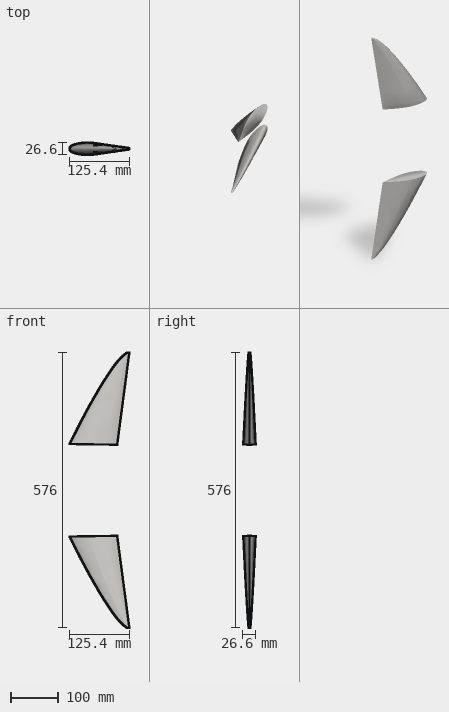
import cadquery as cq
import math

TIP_TRAILING_X = 125.51
TIP_Z = 288.0
ROOT_LEADING_Z = 96.3
ROOT_TRAILING_Z = 94.8
ROOT_CHORD = 100.2
TIP_CHORD = 4.5
ROOT_TAIL = 62.0
TIP_TAIL = 2.0
ROOT_THICKNESS = 26.50
TIP_THICKNESS = 4.0

CHORD_EXPONENT = 0.72
TAIL_EXPONENT = 0.8
THICKNESS_EXPONENT = 0.82

TAIL_FULLNESS = 1.3

TAIL_HANDLE = 1 / 3
ELLIPSE_HANDLE = 4 / 3 * (math.sqrt(2) - 1)

STATIONS = 8
STATION_CROWDING = 1.2
CUT_MARGIN = 20.0


def taper(root, tip, share, exponent=1):
    """Size at a station; share runs from 0 at the tip to 1 at the root."""
    return tip + (root - tip) * share**exponent


def half_section(share):
    """Half of the airfoil: quarter-ellipse nose, then a tail that thins to a sharp trailing edge."""
    trailing_x = taper(ROOT_CHORD, TIP_TRAILING_X, share)
    chord = taper(ROOT_CHORD, TIP_CHORD, share, CHORD_EXPONENT)
    tail = taper(ROOT_TAIL, TIP_TAIL, share, TAIL_EXPONENT)
    half_thickness = taper(ROOT_THICKNESS, TIP_THICKNESS, share, THICKNESS_EXPONENT) / 2
    leading_x = trailing_x - chord
    thickest_x = trailing_x - tail
    nose = chord - tail
    return (
        cq.Workplane("XY", origin=(0, 0, taper(ROOT_LEADING_Z, TIP_Z, share)))
        .moveTo(leading_x, 0)
        .lineTo(trailing_x, 0)
        .bezier(
            [
                (trailing_x - tail * TAIL_HANDLE, half_thickness * TAIL_FULLNESS * TAIL_HANDLE),
                (thickest_x + tail * TAIL_HANDLE, half_thickness),
                (thickest_x, half_thickness),
            ],
            includeCurrent=True,
        )
        .bezier(
            [
                (thickest_x - ELLIPSE_HANDLE * nose, half_thickness),
                (leading_x, ELLIPSE_HANDLE * half_thickness),
                (leading_x, 0),
            ],
            includeCurrent=True,
        )
        .close()
        .wire()
        .val()
    )


def upper_fin():
    """Fin above the mid plane, joined from its two mirrored halves along the chord plane."""
    root_share = (TIP_Z - ROOT_TRAILING_Z) / (TIP_Z - ROOT_LEADING_Z)
    sections = []
    for index in range(STATIONS):
        share = root_share * (index / (STATIONS - 1)) ** STATION_CROWDING
        sections.append(half_section(share))
    root_cutter = (
        cq.Workplane("XZ")
        .moveTo(0, ROOT_LEADING_Z)
        .lineTo(ROOT_CHORD, ROOT_TRAILING_Z)
        .lineTo(ROOT_CHORD, ROOT_TRAILING_Z - CUT_MARGIN)
        .lineTo(-CUT_MARGIN, ROOT_TRAILING_Z - CUT_MARGIN)
        .lineTo(-CUT_MARGIN, ROOT_LEADING_Z)
        .close()
        .extrude(ROOT_THICKNESS, both=True)
    )
    half = cq.Workplane(cq.Solid.makeLoft(sections)).cut(root_cutter)
    return half.union(half.mirror("XZ"), clean=False)


fin = upper_fin()
lower_fin = fin.mirror("XY")

result = cq.Compound.makeCompound([fin.val(), lower_fin.val()])